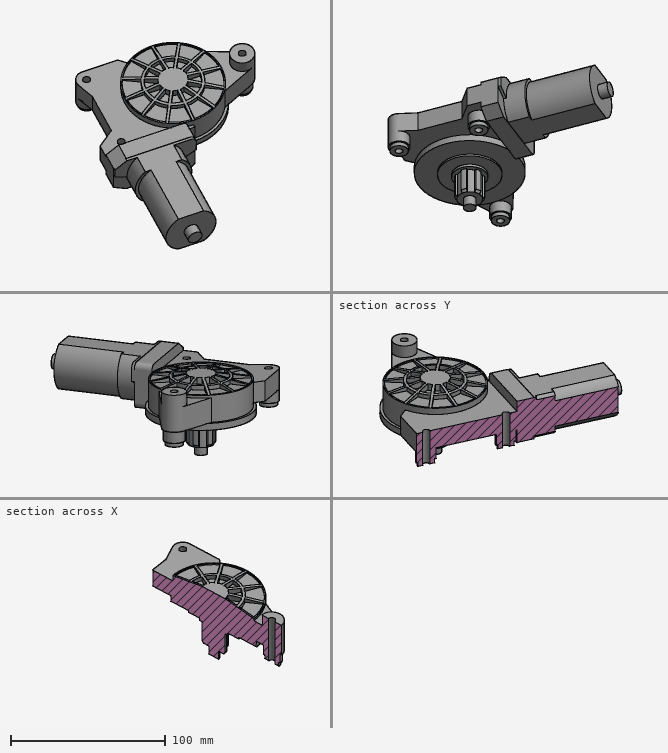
import cadquery as cq
import math


HOUSING_R = 34.0
HOUSING_TOP = 18.6
HUB_R = 9.8
DOME_TOP = 22.6
POCKET_FLOOR = 17.8
RIM_WALL = 1.0
RING_OUTER_R = 20.7
RING_WIDTH = 2.0
SPOKE_COUNT = 12
SPOKE_WIDTH = 2.0

FLANGE_R = 36.0
UNDER_STEPS = [(FLANGE_R, -4.7), (21.0, -6.1), (11.8, -8.0)]

PINION_TIP_R = 9.75
PINION_ROOT_R = 8.4
PINION_BOTTOM = -25.7
TOOTH_COUNT = 6
TOOTH_WIDTH = 3.9
TOOTH_CHAMFER_HEIGHT = 1.8
SHAFT_R = 4.2
SHAFT_BOTTOM = -32.5

POST_X = 28.3
POST_Y = 48.8
POST_R = 7.1
POST_SHOULDER = -8.0
POST_TIP_R = 6.0
POST_BOTTOM = -10.9
BOLT_HOLE_D = 5.0

LUG_R = 8.2
LUG_TOP = 25.4
WEB_TOP = 16.8
WEB_FOOT_X = 18.1
WEB_FOOT_Y = 28.8

PLATE_TOP = 14.0
PLATE_LEFT = -POST_X - POST_R
PLATE_RIGHT = FLANGE_R
PLATE_FRONT = -62.88
PLATE_RECESS_Y = -51.0
RECESS_LEFT_X = -13.8
RECESS_RIGHT_X = 17.2
FOOT_X = 26.3
SHOULDER_Y = -23.8
SHOULDER_INNER = (-28.9, -17.2)

MOTOR_Y = -34.0
MOTOR_Z = 6.1
MOTOR_HALF_HEIGHT = 15.3
MOTOR_R = 17.7
MOTOR_END = 108.2
NECK_R = 20.0
NECK_END = 63.3
STUB_R = 4.9
STUB_END = 115.0

BLOCK_END = 48.2
BLOCK_HALF_HEIGHT = 15.5
BLOCK_TOP = MOTOR_Z + BLOCK_HALF_HEIGHT
BLOCK_BOTTOM = MOTOR_Z - BLOCK_HALF_HEIGHT
BLOCK_BACK = -5.2
BLOCK_ROUND = 4.0
CHAMFER_Y = 9.0
CHAMFER_Z = 5.7

END_FLANGE_X = 50.1
END_FLANGE_INSET = BLOCK_HALF_HEIGHT - MOTOR_HALF_HEIGHT
END_FLANGE_SIDE_BOTTOM = 9.1
END_FLANGE_NECK_Z = 5.0


def disc(radius, bottom, top, x=0.0, y=0.0):
    """Upright cylinder between two heights."""
    return cq.Workplane("XY").workplane(offset=bottom).center(x, y).circle(radius).extrude(top - bottom)


def prism(outline, bottom, top):
    """Upright prism on a closed list of XY points."""
    return cq.Workplane("XY").workplane(offset=bottom).polyline(outline).close().extrude(top - bottom)


def polar(radius, angle, x=0.0, y=0.0):
    """Point at a radius and an angle (radians) about a centre."""
    return (x + radius * math.cos(angle), y + radius * math.sin(angle))


def tangent_angle(center, radius, point, side):
    """Angle about center at which a line from an outside point touches the circle."""
    dx = point[0] - center[0]
    dy = point[1] - center[1]
    return math.atan2(dy, dx) + side * math.acos(radius / math.hypot(dx, dy))


def make_housing():
    """Cylinder with a shallow conical cover, pocketed between spokes and rings."""
    body = (
        cq.Workplane("XZ")
        .moveTo(0, 0)
        .lineTo(HOUSING_R, 0)
        .lineTo(HOUSING_R, HOUSING_TOP)
        .lineTo(HUB_R, DOME_TOP)
        .lineTo(0, DOME_TOP)
        .close()
        .revolve(360, (0, 0, 0), (0, 1, 0))
    )
    outer_pockets = disc(HOUSING_R - RIM_WALL, POCKET_FLOOR, DOME_TOP).cut(
        disc(RING_OUTER_R, POCKET_FLOOR, DOME_TOP)
    )
    inner_pockets = disc(RING_OUTER_R - RING_WIDTH, POCKET_FLOOR, DOME_TOP).cut(
        disc(HUB_R, POCKET_FLOOR, DOME_TOP)
    )
    pockets = outer_pockets.union(inner_pockets)
    spoke = (
        cq.Workplane("XY")
        .workplane(offset=POCKET_FLOOR)
        .rect(2 * HOUSING_R, SPOKE_WIDTH)
        .extrude(DOME_TOP - POCKET_FLOOR)
    )
    for i in range(SPOKE_COUNT // 2):
        pockets = pockets.cut(spoke.rotate((0, 0, 0), (0, 0, 1), i * 360 / SPOKE_COUNT))
    return body.cut(pockets)


def make_under_steps():
    """Stack of round steps below the housing."""
    steps = disc(FLANGE_R, UNDER_STEPS[0][1], 0)
    for radius, bottom in UNDER_STEPS[1:]:
        steps = steps.union(disc(radius, bottom, 0))
    return steps


def make_pinion():
    """Straight-sided teeth with chamfered lower ends, and the shaft end."""
    tip_chamfer = PINION_TIP_R - PINION_ROOT_R
    envelope = disc(PINION_TIP_R, PINION_BOTTOM, 0).faces("<Z").chamfer(TOOTH_CHAMFER_HEIGHT, tip_chamfer)
    teeth = disc(PINION_ROOT_R, PINION_BOTTOM, 0)
    bar = (
        cq.Workplane("XY")
        .workplane(offset=PINION_BOTTOM)
        .rect(TOOTH_WIDTH, 2 * PINION_TIP_R)
        .extrude(-PINION_BOTTOM)
    )
    for i in range(TOOTH_COUNT // 2):
        teeth = teeth.union(bar.rotate((0, 0, 0), (0, 0, 1), i * 360 / TOOTH_COUNT))
    return teeth.intersect(envelope).union(disc(SHAFT_R, SHAFT_BOTTOM, 0))


def make_plate():
    """Mounting plate, with a rounded corner around the left post."""
    post = (-POST_X, -POST_Y)
    recess_start = (RECESS_LEFT_X, PLATE_RECESS_Y)
    leave_angle = tangent_angle(post, POST_R, recess_start, -1)
    middle_angle = (leave_angle - math.pi) / 2
    return (
        cq.Workplane("XY")
        .moveTo(0, 0)
        .lineTo(*SHOULDER_INNER)
        .lineTo(PLATE_LEFT, SHOULDER_Y)
        .lineTo(PLATE_LEFT, -POST_Y)
        .threePointArc(polar(POST_R, middle_angle, *post), polar(POST_R, leave_angle, *post))
        .lineTo(*recess_start)
        .lineTo(RECESS_RIGHT_X, PLATE_RECESS_Y)
        .lineTo(FOOT_X, PLATE_FRONT)
        .lineTo(PLATE_RIGHT, PLATE_FRONT)
        .lineTo(PLATE_RIGHT, 0)
        .close()
        .extrude(PLATE_TOP)
    )


def make_lug():
    """Tall round boss joined to the housing by a tapered web."""
    center = (0, POST_Y)
    foot = (WEB_FOOT_X, WEB_FOOT_Y)
    touch_x, touch_y = polar(LUG_R, tangent_angle(center, LUG_R, foot, 1), *center)
    web = prism(
        [
            (-touch_x, touch_y),
            (touch_x, touch_y),
            foot,
            (0, 0),
            (-WEB_FOOT_X, WEB_FOOT_Y),
        ],
        0,
        WEB_TOP,
    )
    return web.union(disc(LUG_R, 0, LUG_TOP, *center))


def make_post(x, y):
    """Stepped locating post under the plate."""
    return disc(POST_R, POST_SHOULDER, PLATE_TOP / 2, x, y).union(disc(POST_TIP_R, POST_BOTTOM, 0, x, y))


def motor_cylinder(radius, start, end):
    """Cylinder on the motor axis between two X positions."""
    plane = cq.Workplane("YZ").workplane(offset=start).center(MOTOR_Y, MOTOR_Z)
    return plane.circle(radius).extrude(end - start)


def flatted_cylinder(radius, start, end):
    """Cylinder on the motor axis with flats on top and bottom."""
    plane = cq.Workplane("YZ").workplane(offset=start).center(MOTOR_Y, MOTOR_Z)
    slab = plane.rect(2 * radius, 2 * MOTOR_HALF_HEIGHT).extrude(end - start)
    return motor_cylinder(radius, start, end).intersect(slab)


def make_gearbox_block():
    """Block with rounded back edges and chamfered front edges."""
    block = (
        cq.Workplane("YZ")
        .workplane(offset=PLATE_RIGHT)
        .moveTo(BLOCK_BACK, BLOCK_BOTTOM)
        .lineTo(BLOCK_BACK, BLOCK_TOP)
        .lineTo(PLATE_FRONT + CHAMFER_Y, BLOCK_TOP)
        .lineTo(PLATE_FRONT, BLOCK_TOP - CHAMFER_Z)
        .lineTo(PLATE_FRONT, BLOCK_BOTTOM + CHAMFER_Z)
        .lineTo(PLATE_FRONT + CHAMFER_Y, BLOCK_BOTTOM)
        .close()
        .extrude(BLOCK_END - PLATE_RIGHT)
    )
    return block.edges("|X").edges(">Y").fillet(BLOCK_ROUND)


def make_end_flange():
    """Thin plate on the end of the block, its lower sides sloping in to the neck."""
    front = PLATE_FRONT + END_FLANGE_INSET
    top = BLOCK_TOP - END_FLANGE_INSET
    chamfer_slope = CHAMFER_Z / CHAMFER_Y
    chamfer_top_y = PLATE_FRONT + CHAMFER_Y - END_FLANGE_INSET / chamfer_slope
    chamfer_bottom_z = BLOCK_TOP - CHAMFER_Z + END_FLANGE_INSET * chamfer_slope
    flange = (
        cq.Workplane("YZ")
        .workplane(offset=BLOCK_END)
        .moveTo(BLOCK_BACK, END_FLANGE_SIDE_BOTTOM)
        .lineTo(BLOCK_BACK, top)
        .lineTo(chamfer_top_y, top)
        .lineTo(front, chamfer_bottom_z)
        .lineTo(front, END_FLANGE_SIDE_BOTTOM)
        .lineTo(MOTOR_Y - NECK_R, END_FLANGE_NECK_Z)
        .lineTo(MOTOR_Y + NECK_R, END_FLANGE_NECK_Z)
        .close()
        .extrude(END_FLANGE_X - BLOCK_END)
    )
    return flange.edges("|X").edges(">(0, 1, 1)").fillet(BLOCK_ROUND)


def make_motor():
    """Flatted neck and can, and the round stub at the far end."""
    neck = flatted_cylinder(NECK_R, BLOCK_END, NECK_END)
    can = flatted_cylinder(MOTOR_R, NECK_END, MOTOR_END)
    return neck.union(can).union(motor_cylinder(STUB_R, MOTOR_END, STUB_END))


post_centers = [(-POST_X, -POST_Y), (POST_X, -POST_Y), (0, POST_Y)]

result = make_housing().union(make_under_steps()).union(make_pinion())
result = result.union(make_plate()).union(make_lug())
for x, y in post_centers:
    result = result.union(make_post(x, y))
result = result.union(make_gearbox_block()).union(make_end_flange()).union(make_motor())
for x, y in post_centers:
    result = result.cut(disc(BOLT_HOLE_D / 2, POST_BOTTOM, LUG_TOP, x, y))